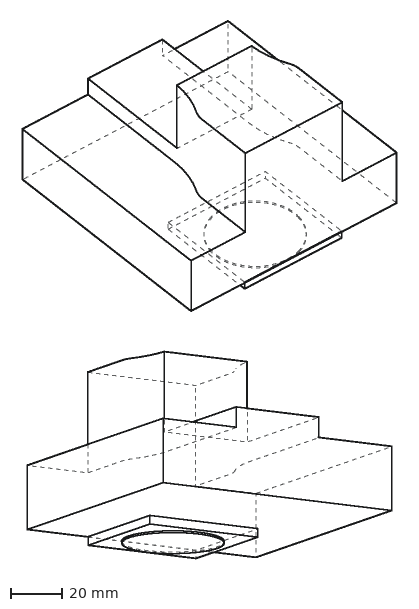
import cadquery as cq
import math

base_side = 104.0
base_height = 25.7

rail_width = 37.6
rail_height = 8.1
block_width = 49.1
block_height = 40.1
block_start_x = 54.9
flare_start_x = 53.5
flare_end_x = 77.3
inner_flare_share = 0.8

pad_length = 47.3
pad_width = block_width
pad_height = 3.4
pad_center_x = 80.0
disc_diameter = 40.0
disc_height = 0.7

rail_half = rail_width / 2
block_half = block_width / 2
flare_length = flare_end_x - flare_start_x
flare_rise = block_half - rail_half
flare_join_x = flare_start_x + inner_flare_share * flare_length
flare_join_y = rail_half + inner_flare_share * flare_rise
flare_angle = 2 * math.atan(flare_rise / flare_length)


def arc_middle(start, end, tangent_start):
    """Midpoint of an arc with a horizontal tangent at tangent_start."""
    radius = abs(end[0] - start[0]) / math.sin(flare_angle)
    along = radius * math.sin(flare_angle / 2)
    rise = radius * (1 - math.cos(flare_angle / 2))
    direction = 1 if tangent_start == start else -1
    return (tangent_start[0] + direction * along, tangent_start[1] + direction * rise)


def flared_outline():
    """Outline of the rail and block together, symmetric about the X axis."""
    start = (flare_start_x, rail_half)
    join = (flare_join_x, flare_join_y)
    end = (flare_end_x, block_half)
    half = (
        cq.Workplane("XY", origin=(0, 0, base_height))
        .moveTo(0, 0)
        .lineTo(0, rail_half)
        .lineTo(*start)
        .threePointArc(arc_middle(start, join, start), join)
        .threePointArc(arc_middle(join, end, end), end)
        .lineTo(base_side, block_half)
        .lineTo(base_side, 0)
    )
    return half.mirrorX()


def raised_block():
    """Full-height flared shape, cut down to the rail height in front of the block."""
    block = flared_outline().extrude(block_height)
    space_above_rail = cq.Workplane("XY").box(
        block_start_x, block_width, block_height - rail_height, centered=(False, True, False)
    )
    return block.cut(space_above_rail.translate((0, 0, base_height + rail_height)))


def underside():
    """Pad below the plate with the thin disc below the pad."""
    pad = cq.Workplane("XY", origin=(pad_center_x, 0, 0)).rect(pad_length, pad_width).extrude(-pad_height)
    disc = (
        cq.Workplane("XY", origin=(pad_center_x, 0, -pad_height))
        .circle(disc_diameter / 2)
        .extrude(-disc_height)
    )
    return pad.union(disc)


base = cq.Workplane("XY").box(base_side, base_side, base_height, centered=(False, True, False))
result = base.union(raised_block()).union(underside())